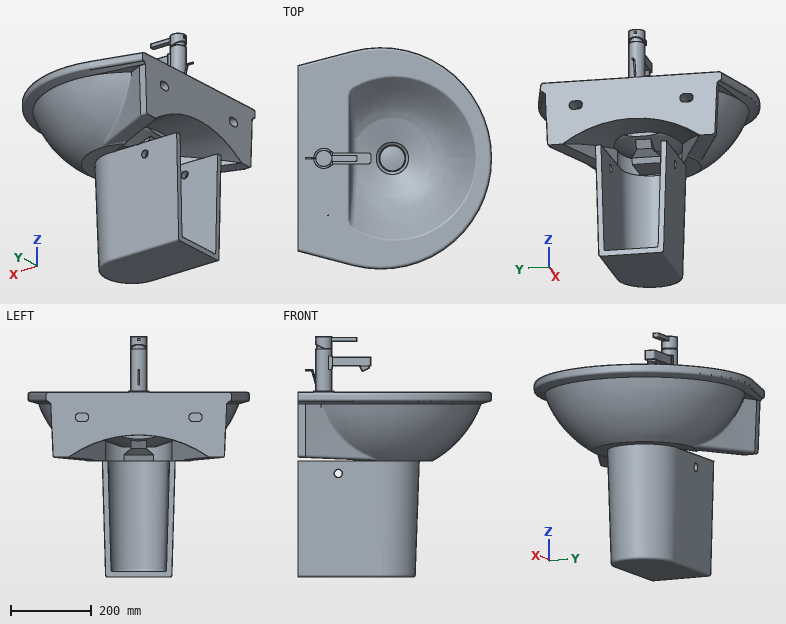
import cadquery as cq
import math


total_depth = 479.75
total_width = 548.4
total_height = 595.64
rim_top_z = 458.0
basin_base_z = 288.0
far = 1000.0
margin = 1.0

rim_radius = total_width / 2
rim_center_x = total_depth - rim_radius
rim_back_half_width = 229.6
rim_under_z = 429.0
rim_top_fillet = 7.0
rim_edge_z = 435.0
rim_edge_fillet = 6.0

bowl_top_radius = 248.0
bowl_mid_radius = 199.0
bowl_mid_z = 346.0
bowl_base_radius = 128.0

skirt_base_half_width = 211.5
skirt_top_half_width = 218.0
skirt_straight_depth = 19.0
skirt_front_x = 216.0
skirt_front_half_width = 127.0
skirt_back_base_z = 297.0
skirt_corner_fillet = 6.0
blend_radius = 6.0

drain_x = 234.0
bowl_floor_radius = 100.0
bowl_floor_z = 357.0
drain_z = 336.0
drain_radius = 40.0
bowl_rings = [
    (drain_x, bowl_floor_radius, bowl_floor_z),
    (238.0, 138.0, 383.0),
    (239.0, 168.0, 415.0),
    (240.0, 202.0, rim_top_z),
]
back_wall_top_x = 127.0
back_wall_floor_x = 136.0
bowl_corner_fillet = 20.0
bowl_lip_fillet = 5.0

shell_thickness = 14.0
recess_half_width = 174.0
recess_top_z = 352.0
recess_end_x = 211.0
recess_end_radius = 82.0

boss_half_width = 36.5
boss_shoulder_z = 303.0
boss_neck_half_width = 19.5
boss_neck_z = 318.0
boss_top_x = 125.0
boss_neck_x = 150.0
boss_shoulder_x = 172.0
boss_base_x = 178.0
boss_front_x = drain_x + boss_half_width

slot_spacing = 281.0
slot_length = 33.0
slot_height = 22.0
slot_z = 396.0
slot_depth = 60.0

seat_radius = 33.0
seat_chamfer = drain_radius - seat_radius
seat_depth = 9.0
plug_radius = 31.0
plug_edge_height = 7.0
plug_dome_height = 4.0

pedestal_base_radius = 82.2
pedestal_top_radius = 90.4
pedestal_base_center_x = 208.3
pedestal_top_center_x = 210.3
pedestal_floor = 14.0
pedestal_wall = 18.0
pedestal_wall_thinning = 4.0
pedestal_base_fillet = 6.0
pedestal_inner_fillet = 5.0
pedestal_hole_diameter = 20.0
pedestal_hole_x = 100.0
pedestal_hole_z = 256.7

tap_x = 64.2
tap_radius = 20.0
tap_foot_radius = 25.0
tap_foot_height = 3.5
tap_body_top_z = 564.5
cap_bottom_z = 566.5
cap_back_bottom_z = 576.5
cartridge_radius = 17.5
cartridge_chamfer = 5.0
lever_end_x = 146.0
lever_half_width = 7.2
lever_top_z = 594.0
lever_thickness = 10.0
lever_corner_fillet = 3.0
mark_size = 6.0
mark_depth = 1.0
mark_z = 588.5
spout_end_x = 181.0
spout_half_width = 13.4
spout_bottom_z = 523.0
spout_top_z = 545.0
spout_corner_fillet = 6.0
collar_front_x = 85.5
collar_half_width = 16.3
collar_bottom_z = 514.5
collar_top_z = 547.5
collar_fillet = 4.0
aerator_diameter = 20.15
aerator_length = 14.0
aerator_tilt = 27.0
aerator_tip_x = 168.5
aerator_tip_z = 513.5
rod_diameter = 4.0
rod_end_x = 18.5
rod_bend_x = 35.5
rod_z = 512.0
rod_low_x = 46.0
rod_low_z = 476.0


def block(x0, x1, half_width, z0, z1):
    """Box that is symmetric about Y = 0."""
    size = (x1 - x0, 2 * half_width, z1 - z0)
    return cq.Workplane("XY").box(*size, centered=(False, True, False)).translate((x0, 0, z0))


def disc(x, radius, z0, z1):
    """Upright cylinder on the plane of symmetry."""
    return cq.Workplane("XY", origin=(x, 0, z0)).circle(radius).extrude(z1 - z0)


behind_wall = block(-far, 0, far, -far, far)


def rim_outline(plane, radius, back_half_width):
    """Plan of the rim: a front arc joined to the wall by two tangent lines."""
    corner_distance = math.hypot(rim_center_x, back_half_width)
    corner_angle = math.atan2(back_half_width, -rim_center_x)
    tangent_angle = corner_angle - math.acos(radius / corner_distance)
    tangent_x = rim_center_x + radius * math.cos(tangent_angle)
    tangent_y = radius * math.sin(tangent_angle)
    return (
        plane.moveTo(0, -back_half_width)
        .lineTo(tangent_x, -tangent_y)
        .threePointArc((rim_center_x + radius, 0), (tangent_x, tangent_y))
        .lineTo(0, back_half_width)
        .close()
    )


def rim():
    """Flat rim with rounded edges and an underside that slopes down to the bowl."""
    plate_plane = cq.Workplane("XY", origin=(0, 0, rim_edge_z))
    plate = rim_outline(plate_plane, rim_radius, rim_back_half_width).extrude(rim_top_z - rim_edge_z)
    plate = plate.faces(">Z").edges("not <X").fillet(rim_top_fillet)
    plate = plate.faces("<Z").edges("not <X").fillet(rim_edge_fillet)
    under_plane = cq.Workplane("XY", origin=(0, 0, rim_under_z))
    under_top = rim_outline(under_plane, bowl_top_radius, skirt_top_half_width).workplane(
        offset=rim_edge_z - rim_under_z
    )
    underside = rim_outline(
        under_top, rim_radius - rim_edge_fillet, rim_back_half_width - rim_edge_fillet
    ).loft(ruled=True)
    return plate.union(underside)


def bowl_outside():
    """Round bowl body under the rim, cut off at the wall."""
    bowl = (
        cq.Workplane("XZ", origin=(rim_center_x, 0, 0))
        .moveTo(0, basin_base_z)
        .lineTo(bowl_base_radius, basin_base_z)
        .threePointArc((bowl_mid_radius, bowl_mid_z), (bowl_top_radius, rim_under_z))
        .lineTo(bowl_top_radius, rim_edge_z)
        .lineTo(0, rim_edge_z)
        .close()
        .revolve(360, (0, 0, 0), (0, 1, 0))
    )
    return bowl


def skirt_outline(spread):
    """Corner points of the skirt in plan, spread out at the wall and drawn in at the front."""
    right_side = [
        (-skirt_straight_depth, -skirt_base_half_width - spread),
        (skirt_straight_depth, -skirt_base_half_width - spread),
        (skirt_front_x, -skirt_front_half_width + spread),
    ]
    return right_side + [(x, -y) for x, y in reversed(right_side)]


def skirt():
    """Wall skirt that narrows to the front and widens slightly upward."""
    fall = (skirt_back_base_z - basin_base_z) / skirt_front_x
    start_z = basin_base_z - (skirt_back_base_z - basin_base_z)
    height = rim_edge_z - start_z
    prism = (
        cq.Workplane("XY", origin=(0, 0, start_z))
        .polyline(skirt_outline(0))
        .close()
        .workplane(offset=height)
        .polyline(skirt_outline(skirt_top_half_width - skirt_base_half_width))
        .close()
        .loft(ruled=True)
    )
    below_slope = (
        cq.Workplane("XZ")
        .moveTo(-skirt_front_x, skirt_back_base_z + fall * skirt_front_x)
        .lineTo(2 * skirt_front_x, basin_base_z - fall * skirt_front_x)
        .lineTo(-skirt_front_x, basin_base_z - fall * skirt_front_x)
        .close()
        .extrude(far, both=True)
    )
    prism = prism.cut(below_slope)
    return prism.faces("<Z").edges("not |Y").fillet(skirt_corner_fillet)


def bowl_and_skirt():
    """Bowl and skirt in one piece, with a soft blend where they meet at the sides."""
    body = bowl_outside().union(skirt())
    sides = cq.selectors.BoxSelector(
        (2 * skirt_straight_depth, -rim_radius, skirt_back_base_z + skirt_corner_fillet),
        (skirt_front_x, rim_radius, rim_under_z - margin),
    )
    return body.edges(sides).fillet(blend_radius)


def bowl_inside():
    """Inner volume of the bowl: a shallow cone under a round wall, flat at the back."""
    floor = (
        cq.Workplane("XY", origin=(drain_x, 0, drain_z))
        .circle(drain_radius)
        .workplane(offset=bowl_floor_z - drain_z)
        .circle(bowl_floor_radius)
        .loft()
    )
    rings = [
        cq.Wire.makeCircle(radius, cq.Vector(x, 0, z), cq.Vector(0, 0, 1))
        for x, radius, z in bowl_rings
    ]
    wall = cq.Workplane(cq.Solid.makeLoft(rings))
    back_slope = (back_wall_floor_x - back_wall_top_x) / (rim_top_z - bowl_floor_z)
    front_of_back_wall = (
        cq.Workplane("XZ")
        .moveTo(back_wall_top_x, rim_top_z)
        .lineTo(far, rim_top_z)
        .lineTo(far, drain_z)
        .lineTo(back_wall_floor_x + back_slope * (bowl_floor_z - drain_z), drain_z)
        .close()
        .extrude(far, both=True)
    )
    return floor.union(wall).intersect(front_of_back_wall)


def underside_recess(bowl_volume):
    """Arched recess that opens at the wall and below, kept one shell thickness off the bowl."""
    plan = (
        cq.Workplane("XY", origin=(0, 0, basin_base_z))
        .moveTo(0, -recess_half_width)
        .lineTo(recess_end_x, -recess_end_radius)
        .threePointArc((recess_end_x + recess_end_radius, 0), (recess_end_x, recess_end_radius))
        .lineTo(0, recess_half_width)
        .close()
        .extrude(recess_top_z - basin_base_z)
    )
    arch = (
        cq.Workplane("YZ")
        .moveTo(-recess_half_width, basin_base_z)
        .lineTo(-recess_half_width, skirt_back_base_z)
        .threePointArc((0, recess_top_z), (recess_half_width, skirt_back_base_z))
        .lineTo(recess_half_width, basin_base_z)
        .close()
        .extrude(far)
    )
    lowered_bowl = bowl_volume.translate((0, 0, -shell_thickness))
    shell = lowered_bowl.union(lowered_bowl.translate((-shell_thickness, 0, 0)))
    return plan.intersect(arch).cut(shell)


def outlet_boss():
    """Hanging boss under the drain, narrower at the top, whose back face slopes down to the drain."""
    right_side = [
        (boss_half_width, basin_base_z),
        (boss_half_width, boss_shoulder_z),
        (boss_neck_half_width, boss_neck_z),
        (boss_neck_half_width, recess_top_z),
    ]
    left_side = [(-y, z) for y, z in reversed(right_side)]
    profile = (
        cq.Workplane("YZ")
        .polyline(right_side + left_side)
        .close()
        .extrude(boss_front_x)
    )
    side = (
        cq.Workplane("XZ")
        .moveTo(boss_front_x, basin_base_z)
        .lineTo(boss_base_x, basin_base_z)
        .lineTo(boss_shoulder_x, boss_shoulder_z)
        .lineTo(boss_neck_x, boss_neck_z)
        .lineTo(boss_top_x, recess_top_z)
        .lineTo(boss_front_x, recess_top_z)
        .close()
        .extrude(boss_half_width, both=True)
    )
    return profile.intersect(side)


def fixing_slots():
    """Two blind slots in the wall face."""
    return (
        cq.Workplane("YZ")
        .pushPoints([(-slot_spacing / 2, slot_z), (slot_spacing / 2, slot_z)])
        .slot2D(slot_length, slot_height)
        .extrude(slot_depth)
    )


def drain_seat():
    """Recess in the bowl floor with a wide chamfer, which holds the plug."""
    seat = disc(drain_x, seat_radius, drain_z - seat_depth, drain_z)
    mouth = cq.Solid.makeCone(
        seat_radius, drain_radius, seat_chamfer, cq.Vector(drain_x, 0, drain_z - seat_chamfer)
    )
    return seat.union(cq.Workplane(mouth))


def make_basin():
    bowl_volume = bowl_inside()
    back_corners = bowl_volume.faces("<X").edges("not(|Y)")
    opening = back_corners.fillet(bowl_corner_fillet)
    basin = rim().union(bowl_and_skirt()).cut(behind_wall).cut(opening)
    lip = cq.selectors.BoxSelector(
        (back_wall_top_x - margin, -bowl_top_radius, rim_top_z - margin),
        (total_depth - 2 * rim_top_fillet, bowl_top_radius, rim_top_z + margin),
    )
    basin = basin.edges(lip).fillet(bowl_lip_fillet)
    basin = basin.cut(underside_recess(bowl_volume).cut(outlet_boss()))
    return basin.cut(fixing_slots()).cut(drain_seat())


def make_plug():
    """Domed plug standing on the floor of the drain seat."""
    base_z = drain_z - seat_depth
    edge_z = base_z + plug_edge_height
    top_z = edge_z + plug_dome_height
    dome_radius = (plug_radius**2 + plug_dome_height**2) / (2 * plug_dome_height)
    halfway = plug_radius / 2
    halfway_z = top_z - dome_radius + math.sqrt(dome_radius**2 - halfway**2)
    return (
        cq.Workplane("XZ", origin=(drain_x, 0, 0))
        .moveTo(0, base_z)
        .lineTo(plug_radius, base_z)
        .lineTo(plug_radius, edge_z)
        .threePointArc((halfway, halfway_z), (0, top_z))
        .close()
        .revolve(360, (0, 0, 0), (0, 1, 0))
    )


def pedestal_prism(inset, back_spread, base_z):
    """U-shaped prism with a round front; it grows upward and may also spread toward the wall."""

    def outline(z):
        height_share = z / basin_base_z
        center_x = pedestal_base_center_x + height_share * (pedestal_top_center_x - pedestal_base_center_x)
        radius = pedestal_base_radius + height_share * (pedestal_top_radius - pedestal_base_radius) - inset
        plan = (
            cq.Workplane("XY", origin=(0, 0, z))
            .moveTo(0, -radius - back_spread)
            .lineTo(center_x, -radius)
            .threePointArc((center_x + radius, 0), (center_x, radius))
            .lineTo(0, radius + back_spread)
            .close()
        )
        return plan.wire().val()

    return cq.Workplane(cq.Solid.makeLoft([outline(base_z), outline(basin_base_z)], True))


def make_pedestal():
    """Tapered shell, open at the wall and at the top, with a cross hole."""
    outside = pedestal_prism(0, 0, 0)
    outside = outside.faces("<Z").edges("not <X").fillet(pedestal_base_fillet)
    inside = pedestal_prism(pedestal_wall, pedestal_wall_thinning, pedestal_floor)
    inside = inside.faces("<Z").edges("not <X").fillet(pedestal_inner_fillet)
    cross_hole = (
        cq.Workplane("XZ")
        .center(pedestal_hole_x, pedestal_hole_z)
        .circle(pedestal_hole_diameter / 2)
        .extrude(far, both=True)
    )
    return outside.cut(inside).cut(cross_hole)


def tap_handle():
    """Cap with a slanted underside at the back, a flat lever and a small square mark."""
    cap = disc(tap_x, tap_radius, cap_bottom_z, total_height)
    slant = (
        cq.Workplane("XZ")
        .moveTo(tap_x - tap_radius, cap_back_bottom_z)
        .lineTo(tap_x, cap_bottom_z)
        .lineTo(tap_x - tap_radius, cap_bottom_z)
        .close()
        .extrude(tap_radius, both=True)
    )
    mark_x = tap_x - tap_radius
    mark = block(mark_x, mark_x + mark_depth, mark_size / 2, mark_z - mark_size / 2, mark_z + mark_size / 2)
    lever = block(tap_x, lever_end_x, lever_half_width, lever_top_z - lever_thickness, lever_top_z)
    lever = lever.edges("|Z and >X").fillet(lever_corner_fillet)
    return cap.cut(slant).cut(mark).union(lever)


def tap_spout():
    """Straight spout with a collar at the body and a tilted aerator below its end."""
    spout = block(tap_x, spout_end_x, spout_half_width, spout_bottom_z, spout_top_z)
    spout = spout.edges("|Z and >X").fillet(spout_corner_fillet)
    collar = block(tap_x, collar_front_x, collar_half_width, collar_bottom_z, collar_top_z)
    collar = collar.edges("|Y and >X and <Z").fillet(collar_fillet)
    tilt = math.radians(aerator_tilt)
    aerator = cq.Solid.makeCylinder(
        aerator_diameter / 2,
        aerator_length,
        cq.Vector(aerator_tip_x, 0, aerator_tip_z),
        cq.Vector(-math.sin(tilt), 0, math.cos(tilt)),
    )
    return spout.union(collar).union(cq.Workplane(aerator))


def waste_rod():
    """Bent rod that comes out of the back of the tap."""
    path = cq.Workplane("XZ").polyline([(rod_end_x, rod_z), (rod_bend_x, rod_z), (rod_low_x, rod_low_z)])
    profile = cq.Workplane("YZ", origin=(rod_end_x, 0, rod_z)).circle(rod_diameter / 2)
    return profile.sweep(path, transition="right")


def make_tap():
    foot = disc(tap_x, tap_foot_radius, rim_top_z, rim_top_z + tap_foot_height)
    body = disc(tap_x, tap_radius, rim_top_z, tap_body_top_z)
    cartridge_top_z = cap_back_bottom_z + cartridge_chamfer
    cartridge = disc(tap_x, cartridge_radius, tap_body_top_z, cartridge_top_z)
    cartridge = cartridge.faces(">Z").chamfer(cartridge_chamfer)
    tap = foot.union(body).union(cartridge)
    for part in (tap_handle(), tap_spout(), waste_rod()):
        tap = tap.union(part)
    return tap


basin = make_basin()
pedestal = make_pedestal()
tap = make_tap()
plug = make_plug()

result = cq.Compound.makeCompound([basin.val(), pedestal.val(), tap.val(), plug.val()])